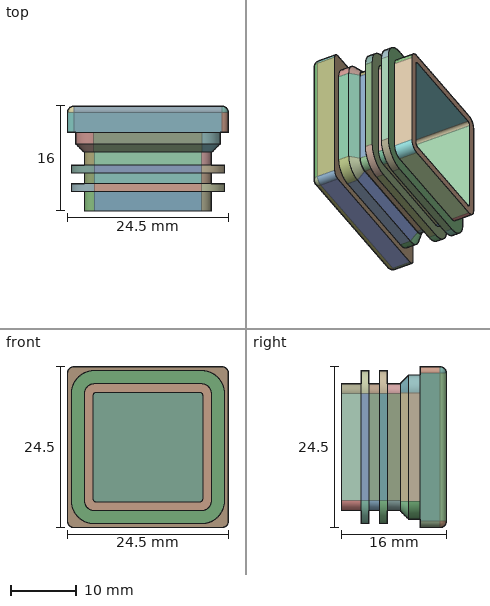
import cadquery as cq

TOTAL_LENGTH = 16.0

HEAD_WIDTH = 24.5
HEAD_THICKNESS = 4.0
HEAD_CORNER_RADIUS = 1.0
HEAD_FACE_FILLET = 1.0

SHOULDER_WIDTH = 22.0
SHOULDER_CORNER_RADIUS = 2.75
SHOULDER_LENGTH = 3.0
TAPER_SIZE = 1.25

WALL = 1.3
BODY_WIDTH = 19.3
BODY_CORNER_RADIUS = 1.5
CAVITY_WIDTH = BODY_WIDTH - 2 * WALL
CAVITY_CORNER_RADIUS = 0.5
CAVITY_DEPTH = 12.4

FIN_HEIGHT = 2.0
FIN_THICKNESS = 1.2
FIN_PITCH = 2.8
FIN_COUNT = 2
FIRST_FIN_START = 3.0
FIN_WIDTH = BODY_WIDTH + 2 * FIN_HEIGHT
FIN_CORNER_RADIUS = BODY_CORNER_RADIUS + FIN_HEIGHT

HEAD_START = TOTAL_LENGTH - HEAD_THICKNESS
TAPER_START = HEAD_START - SHOULDER_LENGTH


def rounded_square_sketch(width, corner_radius, y):
    """Square outline with rounded corners, centred on the axis at position y."""
    square = cq.Sketch().rect(width, width).vertices().fillet(corner_radius)
    plane = cq.Workplane("XZ", origin=(0, y, 0))
    return plane.placeSketch(square)


def rounded_square_block(width, corner_radius, y_start, length):
    """Rounded square prism running from y_start towards +Y."""
    return rounded_square_sketch(width, corner_radius, y_start).extrude(-length)


def make_head():
    head = rounded_square_block(HEAD_WIDTH, HEAD_CORNER_RADIUS, HEAD_START, HEAD_THICKNESS)
    return head.faces(">Y").edges().fillet(HEAD_FACE_FILLET)


def make_shoulder():
    shoulder = rounded_square_block(
        SHOULDER_WIDTH, SHOULDER_CORNER_RADIUS, TAPER_START, SHOULDER_LENGTH
    )
    return shoulder.faces("<Y").edges().chamfer(TAPER_SIZE)


def make_body():
    body = rounded_square_block(BODY_WIDTH, BODY_CORNER_RADIUS, 0, HEAD_START)
    for index in range(FIN_COUNT):
        fin_start = FIRST_FIN_START + index * FIN_PITCH
        fin = rounded_square_block(FIN_WIDTH, FIN_CORNER_RADIUS, fin_start, FIN_THICKNESS)
        body = body.union(fin)
    return body


def make_cavity():
    return rounded_square_block(CAVITY_WIDTH, CAVITY_CORNER_RADIUS, 0, CAVITY_DEPTH)


result = make_body().union(make_shoulder()).union(make_head()).cut(make_cavity())